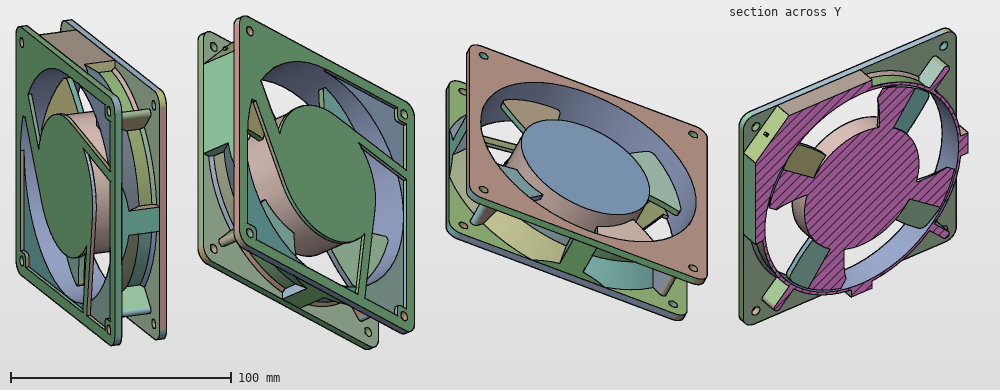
import cadquery as cq
import math

side = 119.0
half = side / 2
depth = 25.5

flange_thickness = 3.5
back_flange_y = depth - flange_thickness
corner_radius = 6.1
hole_diameter = 4.4
hole_spacing = 104.8

bore_radius = 53.9
duct_wall = 1.0
duct_radius = bore_radius + duct_wall
front_flare_radius = 62.1
front_flare_end_y = 13.9
back_flare_radius = 56.3
back_flare_start_y = 20.2

housing_half = 59.4
pad_half_width = 5.8
web_thickness = 3.9
web_end_radius = 66.5
box_chamfer = 18.8
pin_size = 1.3
pin_length = 1.4
pin_pitch = 8.0
web_angles = (45, -45, -135)
upper_left_corner_angle = 135

recess_half = 54.0
recess_depth = 1.8
boss_edge = 48.0
boss_rounding = 1.9

hub_radius = 33.0
rotor_radius = 32.1
rotor_end_y = 22.3
arm_thickness = recess_depth
arm_width = 4.6
arm_length = 51.2
right_arm_angle = -10.0
bottom_arm_angle = -98.0
cable_arm_width = 9.0
cable_arm_angle = 120.0
cable_arm_length = 48.3
foot_edge_x = -48.4
foot_bottom_z = 17.7
foot_top_z = 29.0

blade_count = 4
blade_tip_radius = 53.2
blade_thickness = 2.7
blade_mid_y = 14.3
blade_slope = 8.0
blade_edge_radii = (hub_radius, 42.8, blade_tip_radius)
leading_angles = (72.8, 77.0, 81.9)
trailing_angles = (35.9, 38.6, 41.6)
blade_mid_angle = (leading_angles[0] + trailing_angles[0]) / 2
leading_corner_radius = 1.8
trailing_corner_radius = 3.6


def front_plane(y):
    """Sketch plane at depth y, with X to the right and Z up as seen from the front."""
    return cq.Workplane(cq.Plane(origin=(0, y, 0), xDir=(1, 0, 0), normal=(0, -1, 0)))


def disc(radius, start_y, end_y):
    return front_plane(start_y).circle(radius).extrude(start_y - end_y)


def prism(outline, start_y, end_y):
    return front_plane(start_y).polyline(outline).close().extrude(start_y - end_y)


def block(x_range, z_range, start_y, end_y):
    (x0, x1), (z0, z1) = x_range, z_range
    return prism([(x0, z0), (x1, z0), (x1, z1), (x0, z1)], start_y, end_y)


def turned(part, angle):
    """Turn a part about the fan axis, counter-clockwise as seen from the front."""
    return part.rotate((0, 0, 0), (0, -1, 0), angle)


def flange(start_y):
    plate = block((-half, half), (-half, half), start_y, start_y + flange_thickness)
    return plate.edges("|Y").fillet(corner_radius)


def mounting_holes():
    holes = front_plane(0).rect(hole_spacing, hole_spacing, forConstruction=True).vertices()
    return holes.circle(hole_diameter / 2).extrude(-depth)


def duct_body():
    """Solid of revolution around the bore, trimmed flat where its flare passes the housing sides."""
    profile = [
        (0, 0),
        (front_flare_radius, 0),
        (front_flare_radius, flange_thickness),
        (duct_radius, front_flare_end_y),
        (duct_radius, back_flare_start_y),
        (back_flare_radius, back_flange_y),
        (back_flare_radius, depth),
        (0, depth),
    ]
    body = cq.Workplane("XY").polyline(profile).close().revolve(360, (0, 0, 0), (0, 1, 0))
    envelope = block((-housing_half, housing_half), (-housing_half, housing_half), 0, depth)
    return body.intersect(envelope)


def side_pad():
    """Flat pad that fills the gap between the duct and the +X side."""
    return block((0, housing_half), (-pad_half_width, pad_half_width), flange_thickness, back_flange_y)


def corner_web():
    """Radial web toward +X with a rounded outer end."""
    web_half = web_thickness / 2
    web = block((0, web_end_radius), (-web_half, web_half), flange_thickness, back_flange_y)
    rounded_end = disc(web_half, flange_thickness, back_flange_y)
    return web.union(rounded_end.translate((web_end_radius, 0, 0)))


def terminal_box():
    """Closed upper left quarter of the housing, with its corner cut off."""
    chamfer_end = housing_half - box_chamfer
    outline = [
        (0, 0),
        (0, housing_half),
        (-chamfer_end, housing_half),
        (-housing_half, chamfer_end),
        (-housing_half, 0),
    ]
    return prism(outline, flange_thickness, back_flange_y)


def terminal_pin(y):
    """Square pin standing out of the cut corner of the terminal box."""
    face_distance = (2 * housing_half - box_chamfer) / math.sqrt(2)
    pin = cq.Workplane("XY").box(2 * pin_length, pin_size, pin_size)
    return turned(pin.translate((face_distance, y, 0)), upper_left_corner_angle)


def front_recess():
    """Shallow pocket around the screw bosses in every quarter except the upper left one."""
    pocket = block((-recess_half, recess_half), (-recess_half, recess_half), 0, recess_depth)
    boss = block((boss_edge, half), (boss_edge, half), 0, recess_depth)
    boss = boss.edges("|Y and <X and <Z").fillet(boss_rounding)
    for quarter in range(4):
        pocket = pocket.cut(turned(boss, 90 * quarter))
    return pocket.cut(block((-half, 0), (0, half), 0, recess_depth))


def arm(width, length, angle):
    """Bar along angle whose outer edge is tangent to the hub."""
    return turned(block((0, length), (hub_radius - width, hub_radius), 0, arm_thickness), angle)


def cable_foot():
    """Corner piece that fills the angle between the cable arm and the bore."""
    return block((-bore_radius, foot_edge_x), (foot_bottom_z, foot_top_z), 0, arm_thickness)


def polar(radius, angle):
    radians = math.radians(angle)
    return (radius * math.cos(radians), radius * math.sin(radians))


def nearest_edge(point):
    """Selector for the Y-parallel edge of a full-depth prism at the given front point."""
    x, z = point
    return cq.selectors.NearestToPointSelector((x, depth / 2, z))


def blade():
    """One flat inclined blade: its outline along Y, kept only inside a tilted plate."""
    leading_root, leading_middle, leading_tip = map(polar, blade_edge_radii, leading_angles)
    trailing_root, trailing_middle, trailing_tip = map(polar, blade_edge_radii, trailing_angles)
    tip_middle = polar(blade_tip_radius, (leading_angles[-1] + trailing_angles[-1]) / 2)
    outline = (
        front_plane(0)
        .moveTo(0, 0)
        .lineTo(*leading_root)
        .threePointArc(leading_middle, leading_tip)
        .threePointArc(tip_middle, trailing_tip)
        .threePointArc(trailing_middle, trailing_root)
        .close()
        .extrude(-depth)
    )
    outline = outline.edges(nearest_edge(leading_tip)).fillet(leading_corner_radius)
    outline = outline.edges(nearest_edge(trailing_tip)).fillet(trailing_corner_radius)
    plate = cq.Workplane("XY").box(side, blade_thickness, side)
    plate = plate.rotate((0, 0, 0), (1, 0, 0), blade_slope)
    plate = turned(plate.translate((0, blade_mid_y, 0)), blade_mid_angle)
    return outline.intersect(plate)


housing = flange(0).union(flange(back_flange_y)).union(duct_body()).union(terminal_box())
for quarter in range(4):
    housing = housing.union(turned(side_pad(), 90 * quarter))
for web_angle in web_angles:
    housing = housing.union(turned(corner_web(), web_angle))
housing = housing.cut(disc(bore_radius, 0, depth)).cut(mounting_holes()).cut(front_recess())

for pin_offset in (-pin_pitch / 2, pin_pitch / 2):
    housing = housing.union(terminal_pin(depth / 2 + pin_offset))

fan = disc(hub_radius, 0, arm_thickness).union(disc(rotor_radius, 0, rotor_end_y))
fan = fan.union(arm(arm_width, arm_length, right_arm_angle))
fan = fan.union(arm(arm_width, arm_length, bottom_arm_angle))
fan = fan.union(arm(cable_arm_width, cable_arm_length, cable_arm_angle))
fan = fan.union(cable_foot())
for number in range(blade_count):
    fan = fan.union(turned(blade(), 360 / blade_count * number))

result = housing.union(fan)